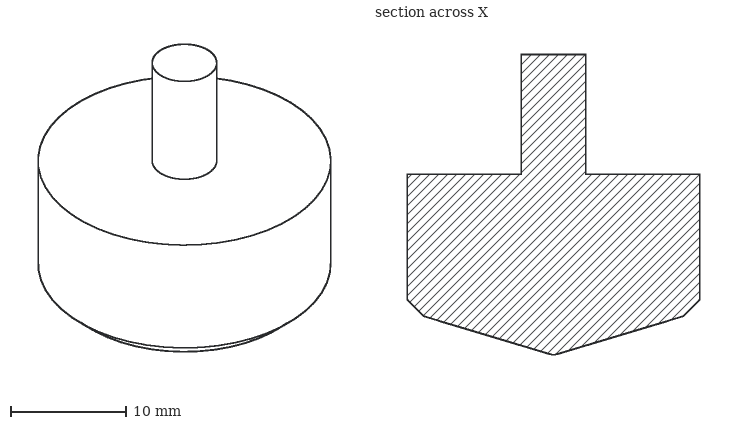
import cadquery as cq

total_height = 26.1
body_diameter = 25.4
stem_diameter = 5.6
stem_length = 10.4
chamfer_size = 1.44
tip_height = 3.37

body_radius = body_diameter / 2
stem_radius = stem_diameter / 2
cone_radius = body_radius - chamfer_size
chamfer_top = tip_height + chamfer_size
body_top = total_height - stem_length

profile = (
    cq.Workplane("XZ")
    .moveTo(0, 0)
    .lineTo(cone_radius, tip_height)
    .lineTo(body_radius, chamfer_top)
    .lineTo(body_radius, body_top)
    .lineTo(stem_radius, body_top)
    .lineTo(stem_radius, total_height)
    .lineTo(0, total_height)
    .close()
)

result = profile.revolve(360, (0, 0, 0), (0, 1, 0))